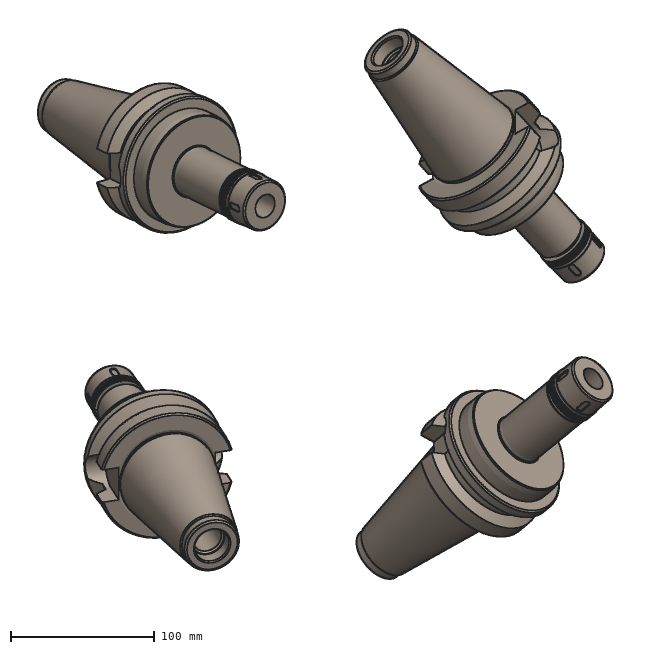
import cadquery as cq
import math


total_length = 236.8
flange_dia = 100.0

pilot_dia = 40.0
pilot_face_dia = 37.0
pilot_chamfer_length = 1.0
pilot_length = 6.9
taper_start_x = 7.5
gauge_dia = 69.9
gauge_x = 101.8
taper_ratio = 7 / 24
taper_start_dia = gauge_dia - taper_ratio * (gauge_x - taper_start_x)
taper_land_length = 1.0
neck_dia = 68.7
neck_end_x = 105.1
neck_relief_dia = 73.5

flange_start_x = 104.5
flange_end_x = 140.2
flange_edge_chamfer = 1.2
front_rim_dia = 98.7
groove_dia = 83.0
groove_center_x = 124.8
groove_floor_width = 6.2
groove_flank_angle = 30.0

collar_dia = 83.4
collar_end_x = 155.0
collar_taper_length = 5.2
collar_end_dia = 82.2
collar_chamfer = 0.7

shank_dia = 36.7
shank_root_dia = 38.4
shank_root_chamfer = 0.7
shank_land_dia = 37.0
shank_land_end_x = 158.5
shank_land_chamfer = 0.7
shank_end_x = 208.5
shank_chamfer = 0.5
undercut_dia = 30.0

nut_start_x = 211.2
nut_rib_dia = 38.4
nut_groove_dia = 36.7
nut_rib_width = 1.0
nut_groove_width = 1.7
nut_groove_count = 2
nut_land_end_x = 219.3
nut_body_start_dia = 37.7
nut_body_end_dia = 37.0
nut_chamfer = 1.2

entry_dia = 27.0
entry_chamfer_length = 1.2
entry_bore_dia = 25.0
entry_bore_depth = 11.0
thread_chamfer_dia = 24.0
thread_chamfer_length = 1.5
thread_bore_dia = 21.0
thread_bore_depth = 59.2
through_bore_dia = 17.0

drive_slot_width = 25.8
drive_slot_end_x = 136.0
drive_slot_floor = 35.3

wrench_slot_count = 4
wrench_slot_start_x = 220.0
wrench_slot_length = 11.5
wrench_slot_width = 4.7
wrench_slot_depth = 1.7


def flank_length(rim_dia):
    """Axial length of a V-groove flank that climbs from the groove floor to a rim."""
    return (rim_dia - groove_dia) / 2 * math.tan(math.radians(groove_flank_angle))


def taper_outline():
    return [
        (0, pilot_face_dia),
        (pilot_chamfer_length, pilot_dia),
        (pilot_length, pilot_dia),
        (taper_start_x, taper_start_dia),
        (gauge_x, gauge_dia),
        (gauge_x + taper_land_length, gauge_dia),
        (gauge_x + taper_land_length, neck_dia),
        (neck_end_x, neck_dia),
        (flange_start_x, neck_relief_dia),
    ]


def flange_outline():
    floor_start = groove_center_x - groove_floor_width / 2
    floor_end = groove_center_x + groove_floor_width / 2
    return [
        (flange_start_x, front_rim_dia - 2 * flange_edge_chamfer),
        (flange_start_x + flange_edge_chamfer, front_rim_dia),
        (floor_start - flank_length(front_rim_dia), front_rim_dia),
        (floor_start, groove_dia),
        (floor_end, groove_dia),
        (floor_end + flank_length(flange_dia), flange_dia),
        (flange_end_x - flange_edge_chamfer, flange_dia),
        (flange_end_x, flange_dia - 2 * flange_edge_chamfer),
    ]


def collar_and_shank_outline():
    return [
        (flange_end_x, collar_dia),
        (collar_end_x - collar_taper_length, collar_dia),
        (collar_end_x - collar_chamfer, collar_end_dia),
        (collar_end_x, collar_end_dia - 2 * collar_chamfer),
        (collar_end_x, shank_root_dia),
        (collar_end_x + shank_root_chamfer, shank_land_dia),
        (shank_land_end_x - shank_land_chamfer, shank_land_dia),
        (shank_land_end_x, shank_dia),
        (shank_end_x - shank_chamfer, shank_dia),
        (shank_end_x, shank_dia - 2 * shank_chamfer),
        (shank_end_x, undercut_dia),
        (nut_start_x, undercut_dia),
    ]


def nut_outline():
    outline = [(nut_start_x, nut_rib_dia)]
    for index in range(nut_groove_count):
        groove_start = nut_start_x + nut_rib_width + index * (nut_rib_width + nut_groove_width)
        groove_end = groove_start + nut_groove_width
        outline += [
            (groove_start, nut_rib_dia),
            (groove_start, nut_groove_dia),
            (groove_end, nut_groove_dia),
            (groove_end, nut_rib_dia),
        ]
    return outline + [
        (nut_land_end_x, nut_rib_dia),
        (nut_land_end_x, nut_body_start_dia),
        (total_length - nut_chamfer, nut_body_end_dia),
        (total_length, nut_body_end_dia - 2 * nut_chamfer),
    ]


def bore_outline():
    """Stepped bore, listed from the nut face back to the taper end."""
    return [
        (total_length, through_bore_dia),
        (thread_bore_depth, through_bore_dia),
        (thread_bore_depth, thread_bore_dia),
        (entry_bore_depth + thread_chamfer_length, thread_bore_dia),
        (entry_bore_depth, thread_chamfer_dia),
        (entry_bore_depth, entry_bore_dia),
        (entry_chamfer_length, entry_bore_dia),
        (0, entry_dia),
    ]


def turned_body():
    """Revolve the outer outline, walked from taper to nut, closed by the bore."""
    outline = taper_outline() + flange_outline() + collar_and_shank_outline()
    outline += nut_outline() + bore_outline()
    points = [(x, diameter / 2) for x, diameter in outline]
    return cq.Workplane("XY").polyline(points).close().revolve(360, (0, 0, 0), (1, 0, 0))


def drive_slot_cutter():
    """Round-ended slot on the +Y side, open toward the taper and outward."""
    half_width = drive_slot_width / 2
    arc_center_x = drive_slot_end_x - half_width
    return (
        cq.Workplane("XZ", origin=(0, drive_slot_floor, 0))
        .moveTo(gauge_x, -half_width)
        .lineTo(arc_center_x, -half_width)
        .threePointArc((drive_slot_end_x, 0), (arc_center_x, half_width))
        .lineTo(gauge_x, half_width)
        .close()
        .extrude(-flange_dia / 2)
    )


def wrench_slot_cutter():
    """Shallow round-ended slot in the nut on the +Z side, along X."""
    floor_z = nut_rib_dia / 2 - wrench_slot_depth
    center_x = wrench_slot_start_x + wrench_slot_length / 2
    return (
        cq.Workplane("XY", origin=(center_x, 0, floor_z))
        .slot2D(wrench_slot_length, wrench_slot_width)
        .extrude(nut_rib_dia)
    )


result = turned_body()

for angle in (0, 180):
    result = result.cut(drive_slot_cutter().rotate((0, 0, 0), (1, 0, 0), angle))

for index in range(wrench_slot_count):
    angle = index * 360 / wrench_slot_count
    result = result.cut(wrench_slot_cutter().rotate((0, 0, 0), (1, 0, 0), angle))